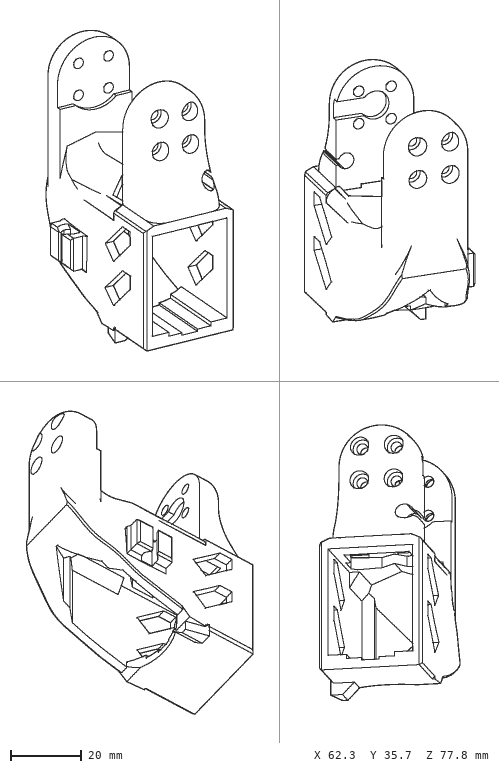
import cadquery as cq
import math

length = 62.3
top_z = 74.35
foot_bottom = -3.46
clip_front = -20.06
eps = 0.01
far = 100.0

arm_radius = 12.0
arm_axis_z = top_z - arm_radius
arm_edge_radius = 5.0
plain_arm_thickness = 10.4
plain_arm_top_thickness = 9.0
plain_arm_step_z = 55.1
plain_arm_root_z = 20.0
hub_relief_radius = 9.9
ramp_arm_inner_x = 45.1
ramp_arm_outer_x = 54.25
ramp_start_z = 60.0
ramp_concave_radius = 23.0
ramp_angle = math.radians(41.0)
horn_depth = 2.0
horn_hub_radius = 4.3
horn_half_width = 2.8

screw_pitch = 10.0
screw_diameter = 3.2
head_diameter = 5.4
plain_head_depth = 5.0
ramp_head_depth = 4.0

box_half_width = 15.05
box_top_z = 38.65
box_shoulder_z = 36.75
box_bevel_half_width = 14.55
box_bevel_z = 37.5
box_chamfer = 0.75
cavity_half_width = 12.4
floor_steps = ((2.6, 2.3), (7.0, 3.0), (cavity_half_width, 4.2))
ceiling_steps = ((4.2, 38.6), (9.5, 37.5), (cavity_half_width, 35.5))

shell_loft_z = 48.0
shell_corner_z = 27.5
roof_rise = 0.04
roof_fall = 0.235
roof_start_x = 15.2
roof_start_z = 40.45
roof_fillet_z = 46.5
shoulder_low_z = 34.5
shoulder_high_z = 38.4
shoulder_foot_y = 14.95
shoulder_half_width = 12.4
window_apex_x = 3.3
belly_chamfer = 0.5
window_jog_y = 9.4
window_jog_length = 2.2
window_end_x = 41.1
window_arc_radius = 20.4

channel_radius = 2.4
channel_gap = 1.9
channel_lead = 1.9
cable_hole_y = 8.9
cable_hole_z = 46.5

clip_x0 = 17.8
clip_x1 = 30.2
clip_bottom = 13.8
clip_top = 24.1
clip_axis_y = -17.0
clip_chamfer = 0.7
clip_flare_z = 1.2
clip_channel_chamfer = 1.2

foot_x0 = 39.2
foot_x1 = 46.25
foot_y0 = -15.2
foot_front_run = 1.9
foot_root_z = 1.3


def box(x0, x1, y0, y1, z0, z1):
    """Axis-aligned block between the given limits."""
    return cq.Workplane("XY").box(x1 - x0, y1 - y0, z1 - z0, centered=False).translate((x0, y0, z0))


def rod(radius, x0, x1, y, z):
    """Cylinder along X."""
    return cq.Workplane("YZ", origin=(x0, 0, 0)).center(y, z).circle(radius).extrude(x1 - x0)


def xz_prism(outline, half_width=far):
    """Extrude an XZ outline symmetrically about the middle plane."""
    return outline.extrude(half_width, both=True)


def yz_prism(points, x0, x1):
    """Extrude a YZ polygon from x0 to x1."""
    return cq.Workplane("YZ", origin=(x0, 0, 0)).polyline(points).close().extrude(x1 - x0)


def stadium(x0, x1, bottom_z):
    """Upright slab with a half-round top."""
    slab = box(x0, x1, -arm_radius, arm_radius, bottom_z, arm_axis_z)
    return slab.union(rod(arm_radius, x0, x1, 0, arm_axis_z))


def outer_rim(body, is_outer, bottom_z):
    """Edges around the outer face of an arm, without the cross lines and the bottom edge."""
    def on_rim(edge):
        middle = edge.Center()
        crosses = edge.geomType() == "LINE" and abs(middle.y) < eps
        return is_outer(middle.x) and not crosses and middle.z > bottom_z + eps
    return [edge for edge in body.edges().vals() if on_rim(edge)]


def under_belly():
    """Everything above and behind the curved underside of the shell."""
    outline = (
        cq.Workplane("XZ")
        .moveTo(0, shell_corner_z)
        .spline([(5.5, 18.4), (13.2, 11.5), (24.0, 6.1), (37.1, 2.1)], includeCurrent=True)
        .lineTo(foot_x0, 0)
        .lineTo(far, 0)
        .lineTo(far, far)
        .lineTo(0, far)
        .close()
    )
    return xz_prism(outline)


def plain_arm():
    """Straight arm at the nose, thinned near the top and relieved around the pivot."""
    body = stadium(0, plain_arm_thickness, plain_arm_root_z)
    rim = outer_rim(body, lambda x: x < eps, plain_arm_root_z)
    body = body.newObject(rim).fillet(arm_edge_radius)
    body = body.cut(box(plain_arm_top_thickness, far, -far, far, plain_arm_step_z, far))
    relief = rod(hub_relief_radius, plain_arm_top_thickness, far, 0, arm_axis_z)
    return body.cut(relief).intersect(under_belly())


def ramp_arm():
    """Arm whose outer face runs out in an S-curve to the end of the box."""
    def on_concave(angle):
        return (
            ramp_arm_outer_x + ramp_concave_radius * (1 - math.cos(angle)),
            ramp_start_z - ramp_concave_radius * math.sin(angle),
        )
    turn = on_concave(ramp_angle)
    convex_radius = (length - turn[0]) / (1 - math.cos(ramp_angle))
    half = ramp_angle / 2
    convex_middle = (
        length - convex_radius * (1 - math.cos(half)),
        turn[1] - convex_radius * (math.sin(ramp_angle) - math.sin(half)),
    )
    foot_z = turn[1] - convex_radius * math.sin(ramp_angle)
    root_z = box_shoulder_z
    outline = (
        cq.Workplane("XZ")
        .moveTo(ramp_arm_inner_x, root_z)
        .lineTo(ramp_arm_inner_x, top_z + 1)
        .lineTo(ramp_arm_outer_x, top_z + 1)
        .lineTo(ramp_arm_outer_x, ramp_start_z)
        .threePointArc(on_concave(half), turn)
        .threePointArc(convex_middle, (length, foot_z))
        .lineTo(length, root_z)
        .close()
    )
    body = stadium(ramp_arm_inner_x, length, root_z).intersect(xz_prism(outline))
    rim = outer_rim(body, lambda x: x > ramp_arm_outer_x - eps, root_z)
    body = body.newObject(rim).fillet(arm_edge_radius)

    horn_end = ramp_arm_inner_x + horn_depth
    body = body.cut(rod(horn_hub_radius, ramp_arm_inner_x, horn_end, 0, arm_axis_z))
    return body.cut(box(ramp_arm_inner_x, horn_end, 0, far,
                        arm_axis_z - horn_half_width, arm_axis_z + horn_half_width))


def box_body():
    """Outside of the box, with bevelled upper edges and small chamfers."""
    points = [
        (-box_half_width, 0), (box_half_width, 0), (box_half_width, box_shoulder_z),
        (box_bevel_half_width, box_bevel_z), (arm_radius, box_top_z),
        (-arm_radius, box_top_z), (-box_bevel_half_width, box_bevel_z), (-box_half_width, box_shoulder_z),
    ]
    body = yz_prism(points, ramp_arm_inner_x, length)
    return body.edges("|X and <Z").chamfer(box_chamfer).faces(">X").edges("|Z").chamfer(box_chamfer)


def shell_plan(z, half_widths):
    """Closed plan wire at height z, bulging between the narrow nose and the box."""
    stations = (0, 3.7, 10.4, 19.0, 28.0, ramp_arm_inner_x)
    upper = [cq.Vector(x, y, z) for x, y in zip(stations, half_widths)]
    lower = [cq.Vector(x, -y, z) for x, y in zip(stations, half_widths)]
    return cq.Wire.assembleEdges([
        cq.Edge.makeSpline(upper),
        cq.Edge.makeLine(upper[-1], lower[-1]),
        cq.Edge.makeSpline(lower[::-1]),
        cq.Edge.makeLine(lower[0], upper[0]),
    ])


def under_roof():
    """Space below the ridged roof, with its concave run-up to the plain arm."""
    roof_end_z = roof_start_z + roof_rise * (ramp_arm_inner_x - roof_start_x)
    half_width = 20.0
    outline = (
        cq.Workplane("XZ")
        .moveTo(0, -far)
        .lineTo(0, roof_fillet_z)
        .lineTo(plain_arm_thickness, roof_fillet_z)
        .threePointArc((11.9, 42.1), (roof_start_x, roof_start_z))
        .lineTo(ramp_arm_inner_x, roof_end_z)
        .lineTo(ramp_arm_inner_x, -far)
        .close()
        .wires()
        .val()
    )
    sides = [
        cq.Solid.extrudeLinear(outline, [], cq.Vector(0, side * half_width, -roof_fall * half_width))
        for side in (-1, 1)
    ]
    return cq.Workplane(sides[0]).union(cq.Workplane(sides[1]))


def shoulder_cutter(side):
    """Material outside the rounded shoulder between the roof and one side wall."""
    return (
        cq.Workplane("YZ")
        .moveTo(side * far, shoulder_low_z)
        .lineTo(side * shoulder_foot_y, shoulder_low_z)
        .threePointArc((side * 14.3, 36.9), (side * shoulder_half_width, shoulder_high_z))
        .lineTo(side * shoulder_half_width, far)
        .lineTo(side * far, far)
        .close()
        .extrude(ramp_arm_inner_x)
    )


def is_belly_edge(edge):
    """True for the two long curved edges between the belly and the sides."""
    middle = edge.Center()
    below_nose = middle.z < shell_corner_z
    ahead_of_box = middle.x < foot_x0 / 2
    return edge.geomType() != "LINE" and below_nose and ahead_of_box


def shell_body():
    """Outer body of the shell: wide at the belly, leaning inwards towards the roof."""
    low = shell_plan(0, (12.0, 9.8, 15.0, 15.4, 15.57, box_half_width))
    middle = shell_plan(shell_loft_z / 2, (11.2, 12.15, 13.6, 14.8, 15.25, box_half_width))
    high = shell_plan(shell_loft_z, (1.5, 5.8, 8.2, 12.7, 14.4, box_half_width))
    body = cq.Workplane(cq.Solid.makeLoft([low, middle, high]))
    body = body.intersect(under_belly()).intersect(under_roof())
    belly_edges = [edge for edge in body.edges().vals() if is_belly_edge(edge)]
    body = body.newObject(belly_edges).chamfer(belly_chamfer)
    for side in (-1, 1):
        body = body.cut(shoulder_cutter(side))
    return body


def shell_cavity():
    """Hollow of the shell, open downwards through the pointed and round-ended window."""
    reach = window_apex_x + window_jog_y
    jog_x = reach + window_jog_length
    arc_center_x = window_end_x - window_arc_radius
    corner_x = arc_center_x + math.sqrt(window_arc_radius**2 - cavity_half_width**2)
    plan = (
        cq.Workplane("XY", origin=(0, 0, -1))
        .moveTo(window_apex_x, 0)
        .lineTo(reach, window_jog_y)
        .lineTo(jog_x, window_jog_y)
        .lineTo(jog_x + cavity_half_width - window_jog_y, cavity_half_width)
        .lineTo(corner_x, cavity_half_width)
        .threePointArc((window_end_x, 0), (corner_x, -cavity_half_width))
        .lineTo(jog_x + cavity_half_width - window_jog_y, -cavity_half_width)
        .lineTo(jog_x, -window_jog_y)
        .lineTo(reach, -window_jog_y)
        .close()
        .extrude(far)
    )
    wall_top_z, eave_y, eave_z, ridge_z = 31.0, 9.5, 35.5, 38.3
    section = [
        (-cavity_half_width, -1), (cavity_half_width, -1), (cavity_half_width, wall_top_z),
        (eave_y, eave_z), (0, ridge_z), (-eave_y, eave_z), (-cavity_half_width, wall_top_z),
    ]
    apex_z = 20.7
    level_x = window_apex_x + ridge_z - apex_z
    ceiling = cq.Workplane("XZ").polyline([
        (window_apex_x, -1), (window_apex_x, apex_z), (level_x, ridge_z), (far, ridge_z), (far, -1),
    ]).close()
    return plan.intersect(yz_prism(section, 0, length)).intersect(xz_prism(ceiling))


def roof_opening():
    """V-shaped opening in the roof, widening at 45 degrees up to the ramped arm."""
    start_x, narrow, wide = 30.6, 3.6, 11.0
    below_roof_z, above_roof_z = 30.0, 45.0
    wide_x = start_x + wide - narrow
    points = [(start_x, narrow), (wide_x, wide), (ramp_arm_inner_x, wide),
              (ramp_arm_inner_x, -wide), (wide_x, -wide), (start_x, -narrow)]
    sketch = cq.Workplane("XY", origin=(0, 0, below_roof_z)).polyline(points).close()
    return sketch.extrude(above_roof_z - below_roof_z)


def box_cavity():
    """Stepped passage through the box to its open end."""
    start_x = 34.0
    middle_z = 20.0
    lowest_ceiling = ceiling_steps[-1][1]
    cavity = box(start_x, length, -cavity_half_width, cavity_half_width, middle_z, lowest_ceiling)
    for half_width, floor_z in floor_steps:
        cavity = cavity.union(box(start_x, length, -half_width, half_width, floor_z, middle_z))
    for half_width, ceiling_z in ceiling_steps[:-1]:
        cavity = cavity.union(box(ramp_arm_inner_x, ramp_arm_outer_x, -half_width, half_width,
                                  middle_z, ceiling_z))
    return cavity


def side_slots():
    """Two slanted slots through both side walls."""
    points = [(40.65, 25.6), (45.05, 21.6), (54.25, 30.2), (54.25, 34.4), (50.05, 34.4)]
    slot = xz_prism(cq.Workplane("XZ").polyline(points).close())
    slot_pitch = 13.8
    return slot.union(slot.translate((0, 0, -slot_pitch)))


def screw_holes():
    """Four counterbored screw holes through each arm."""
    ramp_head_x = ramp_arm_outer_x - ramp_head_depth
    cutter = cq.Workplane("YZ")
    for y in (-screw_pitch / 2, screw_pitch / 2):
        for z in (arm_axis_z - screw_pitch / 2, arm_axis_z + screw_pitch / 2):
            cutter = cutter.add(rod(screw_diameter / 2, -1, length + 1, y, z))
            cutter = cutter.add(rod(head_diameter / 2, -1, plain_head_depth, y, z))
            cutter = cutter.add(rod(head_diameter / 2, ramp_head_x, length + 1, y, z))
    return cutter.combine()


def snap_channel(length_along_axis):
    """Round channel along local Z with a narrowing mouth towards local -Y."""
    half_gap = channel_gap / 2
    lead_start = half_gap - channel_lead
    bore = cq.Workplane("XY").circle(channel_radius).extrude(length_along_axis)
    mouth = cq.Workplane("XY").polyline([
        (-channel_radius, 0), (channel_radius, 0), (channel_radius, lead_start / 2),
        (half_gap, -channel_lead), (half_gap, -far), (-half_gap, -far),
        (-half_gap, -channel_lead), (-channel_radius, lead_start / 2),
    ]).close().extrude(length_along_axis)
    return bore.union(mouth)


def cable_hole():
    """Channel through the ramped arm, with its mouth on the rear edge."""
    channel = snap_channel(length).rotate((0, 0, 0), (0, 1, 0), 90).rotate((0, 0, 0), (1, 0, 0), 180)
    return channel.translate((ramp_arm_inner_x - 1, cable_hole_y, cable_hole_z))


def foot():
    """Short leg under one bottom corner, with a slanted inner flank and an angled front."""
    slant_y = -11.7
    section = yz_prism([
        (foot_y0, foot_bottom), (slant_y, foot_bottom),
        (slant_y + foot_root_z - foot_bottom, foot_root_z), (foot_y0, foot_root_z),
    ], foot_x0, foot_x1)
    plan = cq.Workplane("XY", origin=(0, 0, foot_bottom)).polyline([
        (foot_x0, foot_y0 + foot_front_run), (foot_x1, foot_y0), (foot_x1, 0), (foot_x0, 0),
    ]).close().extrude(foot_root_z - foot_bottom)
    return section.intersect(plan)


def cable_clip():
    """Pair of flared jaws on the side wall with a snap-in channel along Z."""
    center_x = (clip_x0 + clip_x1) / 2
    root_y = -14.0
    wall_y = -15.4
    flare_y = -16.4
    wall_face_y = -15.55
    jaws = box(clip_x0, clip_x1, clip_front, root_y, clip_bottom, clip_top)
    jaws = jaws.faces("<Y").edges().chamfer(clip_chamfer)
    flare_points = [(clip_x0, flare_y), (clip_x1, flare_y), (clip_x1 + clip_chamfer, wall_y),
                    (clip_x1 + clip_chamfer, root_y), (clip_x0 - clip_chamfer, root_y),
                    (clip_x0 - clip_chamfer, wall_y)]
    flare = cq.Workplane("XY", origin=(0, 0, clip_bottom - clip_flare_z)).polyline(flare_points)
    flare = flare.close().extrude(clip_top - clip_bottom + clip_flare_z)
    underside = cq.Workplane("YZ").polyline([
        (flare_y, clip_top), (flare_y, clip_bottom), (wall_y, clip_bottom - clip_flare_z),
        (root_y, clip_bottom - clip_flare_z), (root_y, clip_top),
    ]).close().extrude(length)
    flare = flare.intersect(underside)

    channel = snap_channel(far).translate((center_x, clip_axis_y, 0))
    funnel = (
        cq.Workplane("XY", origin=(center_x, clip_axis_y, clip_top - clip_channel_chamfer))
        .circle(channel_radius)
        .workplane(offset=clip_channel_chamfer)
        .circle(channel_radius + clip_channel_chamfer)
        .loft()
    )
    outside_wall = box(0, length, -far, wall_face_y, 0, far)
    return jaws.union(flare).cut(channel.union(funnel).intersect(outside_wall))


body = shell_body().union(box_body()).union(plain_arm()).union(ramp_arm())
body = body.cut(shell_cavity()).cut(box_cavity()).cut(roof_opening())
body = body.cut(side_slots()).cut(screw_holes()).cut(cable_hole())
result = body.union(foot()).union(cable_clip())